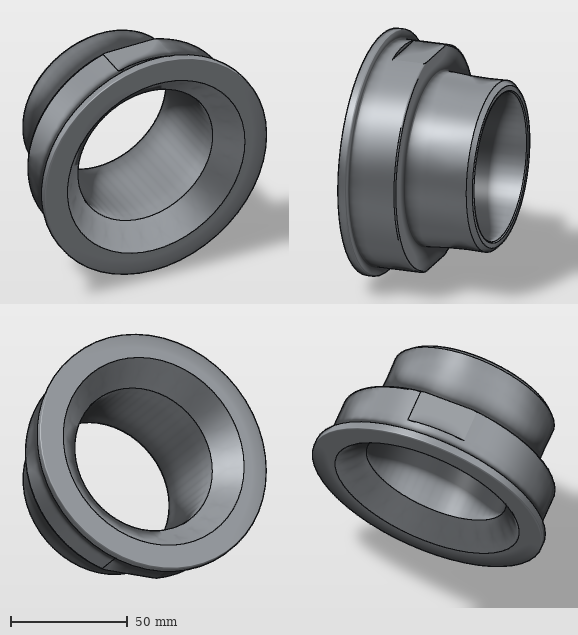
import cadquery as cq
import math

total_length = 55.0
shoulder_x = 30.0
flange_thickness = 4.0
flange_x = total_length - flange_thickness

flange_radius = 53.5
body_radius = 98.5 / 2
bore_radius = 65.0 / 2
spigot_tip_radius = 37.2
spigot_waist_radius = 37.0
spigot_waist_x = 13.2
spigot_root_radius = 38.0

tip_chamfer = 2.0
edge_round = 0.6
bore_chamfer = 0.5

flare_x = 44.7
flare_length = total_length - flare_x
flare_radius = bore_radius + flare_length

flat_width = 26.1
flat_length = 15.0
flat_end_x = shoulder_x + flat_length
flat_height = math.sqrt(body_radius**2 - (flat_width / 2) ** 2)


def turned_outline():
    """Half section (X, radius) of the solid, before the bore is cut."""
    diagonal = edge_round * math.sqrt(0.5)
    inset = edge_round - diagonal
    root_x = shoulder_x - edge_round
    body_start = shoulder_x + edge_round
    body_end = flange_x - edge_round
    return (
        cq.Workplane("XY")
        .moveTo(0, 0)
        .lineTo(0, spigot_tip_radius - tip_chamfer)
        .lineTo(tip_chamfer, spigot_tip_radius)
        .threePointArc((spigot_waist_x, spigot_waist_radius), (root_x, spigot_root_radius))
        .threePointArc(
            (root_x + diagonal, spigot_root_radius + inset),
            (shoulder_x, spigot_root_radius + edge_round),
        )
        .lineTo(shoulder_x, body_radius - edge_round)
        .threePointArc(
            (shoulder_x + inset, body_radius - inset),
            (body_start, body_radius),
        )
        .lineTo(body_end, body_radius)
        .threePointArc(
            (body_end + diagonal, body_radius + inset),
            (flange_x, body_radius + edge_round),
        )
        .lineTo(flange_x, flange_radius - edge_round)
        .threePointArc(
            (flange_x + inset, flange_radius - inset),
            (flange_x + edge_round, flange_radius),
        )
        .lineTo(total_length - edge_round, flange_radius)
        .threePointArc(
            (total_length - inset, flange_radius - inset),
            (total_length, flange_radius - edge_round),
        )
        .lineTo(total_length, 0)
        .close()
    )


def bore():
    """Through bore with a small chamfer at the spigot mouth and a flare at the flange."""
    straight = cq.Workplane("YZ").circle(bore_radius).extrude(total_length)
    mouth = (
        cq.Workplane("YZ")
        .circle(bore_radius + bore_chamfer)
        .workplane(offset=bore_chamfer)
        .circle(bore_radius)
        .loft()
    )
    flare = (
        cq.Workplane("YZ", origin=(flare_x, 0, 0))
        .circle(bore_radius)
        .workplane(offset=flare_length)
        .circle(flare_radius)
        .loft()
    )
    return straight.union(mouth).union(flare)


def wrench_flat(side):
    """Block that mills one flat; side is +1 for the top and -1 for the bottom."""
    depth = flange_radius - flat_height
    return (
        cq.Workplane("XY")
        .box(flat_end_x, 2 * flange_radius, depth, centered=(False, True, True))
        .translate((0, 0, side * (flat_height + depth / 2)))
    )


result = turned_outline().revolve(360, (0, 0, 0), (1, 0, 0))
result = result.cut(bore())
for side in (1, -1):
    result = result.cut(wrench_flat(side))